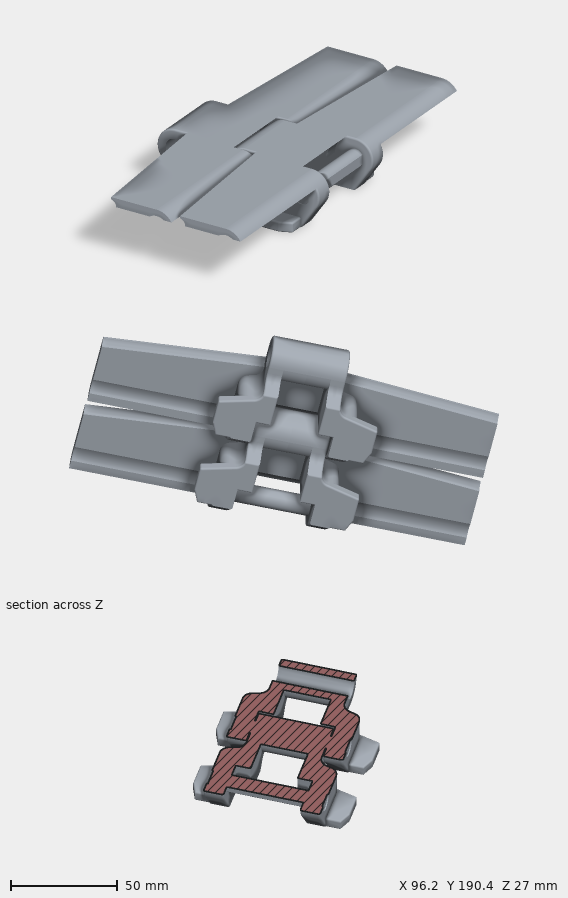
import cadquery as cq
import math

pitch = 38.3
link_count = 2
barrel_radius = 10.0
nose_radius = 9.62
bore_radius = 5.1
pin_radius = 4.8
pin_flat = 4.0
pin_recess = 0.5
link_height = 27.0
top_z = barrel_radius
nose_center_z = top_z - nose_radius
bottom_z = top_z - link_height
edge_round = 1.0

plate_half_width = 95.2
plate_thickness = 4.5
plate_root_x = 6.7
plate_tip_x = 13.0
lip_thickness = 1.05
lip_inset = 0.67
pin_groove_radius = 6.7
plate_under_z = top_z - plate_thickness

barrel_half_width = 18.5
notch_half_width = 18.7
notch_radius = 11.15
leg_inner_y = 11.5
leg_outer_y = 28.5
throat_x = 6.1
heel_x = 11.5
toe_x = pitch - 0.4
throat_radius = 5.1
leg_root_x = 14.1
leg_slant = 0.26
leg_inside_radius = 5.0
leg_outside_radius = 5.1

foot_outer_y = 38.3
foot_thickness = 5.3
foot_corner_x = 31.6
foot_rear_x = toe_x
foot_chamfer_y = 2.7


def bar_y(radius, x, z, start_y, end_y):
    """Cylinder parallel to Y."""
    return (
        cq.Workplane("XZ", origin=(x, start_y, z))
        .circle(radius)
        .extrude(start_y - end_y)
    )


def nose_point(angle):
    """Point of the nose arc at an angle from +X."""
    return (pitch + nose_radius * math.cos(angle), nose_center_z + nose_radius * math.sin(angle))


def side_profile(start_y, end_y):
    """Side outline of barrel, leg and nose, extruded along Y."""
    toe_run = toe_x - pitch
    toe_rise = bottom_z - nose_center_z
    toe_distance = math.hypot(toe_run, toe_rise)
    tangent_angle = math.atan2(toe_rise, toe_run) + math.acos(nose_radius / toe_distance)
    mid_angle = (math.pi / 2 + tangent_angle) / 2
    block = (
        cq.Workplane("XZ", origin=(0, start_y, 0))
        .moveTo(0, top_z)
        .lineTo(pitch, top_z)
        .threePointArc(nose_point(mid_angle), nose_point(tangent_angle))
        .lineTo(toe_x, bottom_z)
        .lineTo(heel_x, bottom_z)
        .lineTo(throat_x, -barrel_radius)
        .lineTo(0, -barrel_radius)
        .threePointArc((-barrel_radius, 0), (0, top_z))
        .close()
        .extrude(start_y - end_y)
    )
    mid_y = (start_y + end_y) / 2
    throat_edge = cq.selectors.NearestToPointSelector((throat_x, mid_y, -barrel_radius))
    return block.edges(throat_edge).fillet(throat_radius)


def slant_x(y):
    """X of the slanted front wall of leg and foot."""
    return leg_root_x + leg_slant * (y - barrel_half_width)


def make_half_plate():
    nose_x = pitch + math.sqrt(nose_radius**2 - (plate_under_z - nose_center_z) ** 2)
    blank = (
        cq.Workplane("XY", origin=(0, 0, plate_under_z))
        .moveTo(plate_root_x, 0)
        .lineTo(plate_root_x, barrel_half_width)
        .lineTo(plate_tip_x, plate_half_width)
        .lineTo(nose_x, plate_half_width)
        .lineTo(nose_x, 0)
        .close()
        .extrude(plate_thickness)
    )
    nose = bar_y(nose_radius, pitch, nose_center_z, 0, plate_half_width)
    ahead = cq.Workplane("XY").box(pitch, plate_half_width, top_z, centered=False)
    half = blank.intersect(nose.union(ahead))

    edge_run = plate_half_width - barrel_half_width
    edge_dir = cq.Vector(plate_tip_x - plate_root_x, edge_run, 0)
    start = cq.Vector(plate_root_x - lip_inset, barrel_half_width, plate_under_z)
    undercut = cq.Solid.makeCylinder(
        plate_thickness - lip_thickness, 1.1 * edge_dir.Length, start, edge_dir
    )
    half = half.cut(cq.Workplane(undercut))

    groove = bar_y(pin_groove_radius, pitch, 0, leg_outer_y, plate_half_width)
    return half.cut(groove)


def make_half_core():
    """Barrel, leg and eye as one block, before the openings are cut."""
    front_x = -barrel_radius
    rear_x = pitch + nose_radius
    plan = (
        cq.Workplane("XY", origin=(0, 0, bottom_z))
        .moveTo(front_x, 0)
        .lineTo(front_x, barrel_half_width)
        .lineTo(leg_root_x, barrel_half_width)
        .lineTo(slant_x(leg_outer_y), leg_outer_y)
        .lineTo(rear_x, leg_outer_y)
        .lineTo(rear_x, 0)
        .close()
        .extrude(link_height)
    )
    inside = cq.selectors.NearestToPointSelector((leg_root_x, barrel_half_width, 0))
    outside = cq.selectors.NearestToPointSelector((slant_x(leg_outer_y), leg_outer_y, 0))
    plan = plan.edges("|Z").edges(inside).fillet(leg_inside_radius)
    plan = plan.edges("|Z").edges(outside).fillet(leg_outside_radius)
    return plan.intersect(side_profile(0, leg_outer_y))


def make_foot():
    root_y = barrel_half_width + leg_inside_radius
    foot = (
        cq.Workplane("XY", origin=(0, 0, bottom_z))
        .moveTo(slant_x(root_y), root_y)
        .lineTo(slant_x(foot_outer_y), foot_outer_y)
        .lineTo(foot_corner_x, foot_outer_y)
        .lineTo(foot_rear_x, foot_outer_y - foot_chamfer_y)
        .lineTo(foot_rear_x, root_y)
        .close()
        .extrude(foot_thickness)
    )
    foot = foot.edges("|Z and >Y").fillet(edge_round)
    return foot.faces(">Z").edges("not <Y").fillet(edge_round)


def make_opening():
    """Space between the legs, from the barrel back, up to the plate."""
    length = pitch + nose_radius
    height = plate_under_z - bottom_z
    space = cq.Workplane("XY", origin=(0, 0, bottom_z)).box(length, leg_inner_y, height, centered=False)
    return space.cut(bar_y(barrel_radius, 0, 0, 0, leg_inner_y))


def make_notch():
    """Room for the next barrel: round above the pin axis, straight down below it."""
    drop = cq.Workplane("XY", origin=(pitch - notch_radius, 0, bottom_z)).box(
        notch_radius + nose_radius, notch_half_width, -bottom_z, centered=False
    )
    return drop.union(bar_y(notch_radius, pitch, 0, 0, notch_half_width))


def edges_on_wall(wall_y, start_x, end_x):
    """Selector for edges in a plane of constant Y that lie between two X positions."""
    margin = edge_round / 10
    return cq.selectors.BoxSelector(
        (start_x, wall_y - margin, bottom_z + edge_round),
        (end_x, wall_y + margin, top_z + edge_round),
    )


def make_half_link():
    core = make_half_core().cut(make_opening()).union(make_foot())
    barrel_end = edges_on_wall(barrel_half_width, -barrel_radius, heel_x)
    core = core.edges(barrel_end).edges("not |Z").fillet(edge_round)
    half = core.union(make_half_plate()).cut(make_notch())
    eye_rim = edges_on_wall(notch_half_width, pitch - notch_radius / 2, pitch + 2 * nose_radius)
    half = half.edges(eye_rim).fillet(edge_round)
    under_eye = cq.selectors.BoxSelector(
        (pitch - notch_radius + edge_round, notch_half_width - edge_round, bottom_z - edge_round),
        (pitch + nose_radius, leg_outer_y, bottom_z + edge_round),
    )
    return half.faces("<Z").edges(cq.selectors.InverseSelector(under_eye)).fillet(edge_round)


def make_pin(half_length):
    """Pin along Y through the eyes, with a flat on its +X side."""
    blank = bar_y(pin_radius, pitch, 0, -half_length, half_length)
    beyond_flat = cq.Workplane("XY", origin=(pitch + pin_flat, -half_length, -pin_radius)).box(
        pin_radius, 2 * half_length, 2 * pin_radius, centered=False
    )
    return blank.cut(beyond_flat)


def make_link():
    """One link with its pin, sunk slightly into matching eye holes."""
    half = make_half_link()
    link = half.union(half.mirror("XZ"))
    return link.cut(make_pin(leg_outer_y)).union(make_pin(leg_outer_y - pin_recess))


link = make_link()
result = link
for index in range(1, link_count):
    result = result.union(link.translate((index * pitch, 0, 0)))

result = result.cut(bar_y(bore_radius, 0, 0, -barrel_half_width, barrel_half_width))